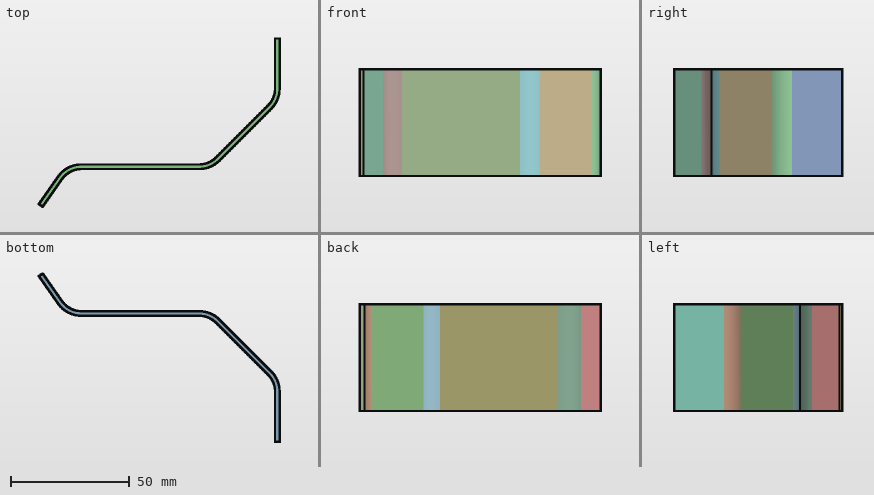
import cadquery as cq
import math

overall_x = 101.6
overall_y = 71.0
height = 45.0

thickness = 2.0
inner_radius = 10.0
outer_radius = inner_radius + thickness
middle_radius = inner_radius + thickness / 2
lip_angle = 55.0
ramp_angle = 45.0
flange_angle = 90.0

lip_length = 14.2
base_length = 49.7

lip = math.radians(lip_angle)
ramp = math.radians(ramp_angle)
ramp_bend_run = outer_radius * math.sin(ramp)
ramp_bend_rise = outer_radius * (1 - math.cos(ramp))
lip_run = outer_radius * math.sin(lip) + lip_length * math.cos(lip)
lip_drop = inner_radius * (1 - math.cos(lip)) + lip_length * math.sin(lip)

ramp_run = overall_x - lip_run - base_length - ramp_bend_run - ramp_bend_rise
ramp_length = ramp_run / math.cos(ramp)
ramp_rise = ramp_length * math.sin(ramp)
flange_length = overall_y - lip_drop - ramp_bend_rise - ramp_rise - ramp_bend_run

stretches = [
    (lip_length, lip_angle),
    (base_length, 0.0),
    (ramp_length, ramp_angle),
    (flange_length, flange_angle),
]


def step(point, distance, heading):
    """Move a point by a distance along a heading in degrees."""
    angle = math.radians(heading)
    return (point[0] + distance * math.cos(angle), point[1] + distance * math.sin(angle))


def bend_points(start, heading, next_heading):
    """Middle and end of a tangent bend along the mid-plane of the sheet."""
    side = math.copysign(90.0, next_heading - heading)
    center = step(start, middle_radius, heading + side)
    half_heading = (heading + next_heading) / 2
    middle = step(center, middle_radius, half_heading - side)
    end = step(center, middle_radius, next_heading - side)
    return middle, end


def sheet_faces():
    """Points with headings along the mid-plane, moved out to both sheet faces."""
    point = (0.0, 0.0)
    path = [(point, lip_angle)]
    for index, (length, heading) in enumerate(stretches):
        point = step(point, length, heading)
        path.append((point, heading))
        if index + 1 < len(stretches):
            next_heading = stretches[index + 1][1]
            middle, point = bend_points(point, heading, next_heading)
            path.append((middle, (heading + next_heading) / 2))
            path.append((point, next_heading))
    left = [step(p, thickness / 2, h + 90) for p, h in path]
    right = [step(p, thickness / 2, h - 90) for p, h in path]
    return left, right


def trace_face(outline, points):
    """Draw one sheet face: a line, then an arc and a line for every bend."""
    outline = outline.lineTo(*points[1])
    for i in range(2, len(points), 3):
        bend_middle, bend_end, straight_end = points[i:i + 3]
        outline = outline.threePointArc(bend_middle, bend_end).lineTo(*straight_end)
    return outline


left_face, right_face = sheet_faces()
profile = cq.Workplane("XY").moveTo(*left_face[0])
profile = trace_face(profile, left_face)
right_face.reverse()
profile = profile.lineTo(*right_face[0])
profile = trace_face(profile, right_face).close()

result = profile.extrude(height)